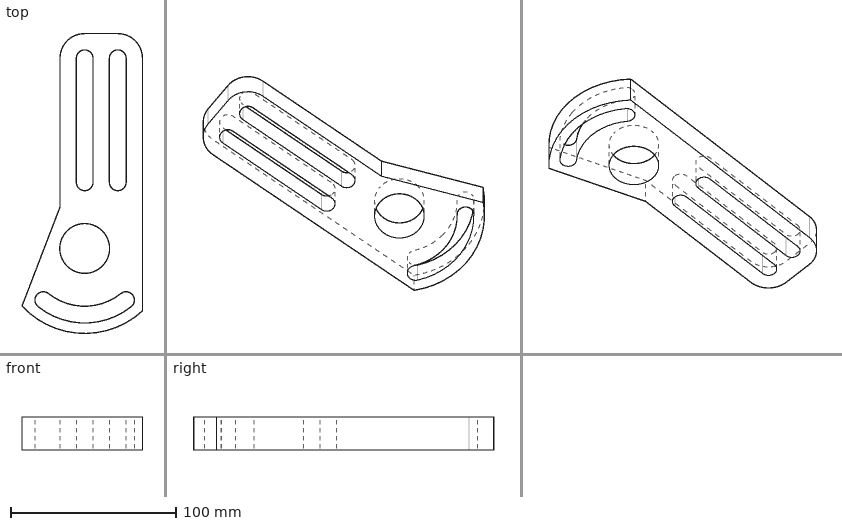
import cadquery as cq
import math

thickness = 20.0
arm_left = -15.0
arm_right = 35.0
arm_top = 130.0
arm_corner_radius = 15.0

pivot_diameter = 30.0
foot_radius = 51.46
flare_start_y = 25.0
foot_left = -37.94

slot_width = 10.0
slot_bottom = 35.0
slot_top = 120.0
slot_xs = (0.0, 20.0)

arc_slot_radius = 40.0
arc_slot_width = 10.0
arc_slot_end_x = 25.0


def foot_edge_y(x):
    """Y of the foot's rounded lower edge at a given X."""
    return -math.sqrt(foot_radius**2 - x**2)


def make_plate():
    plate = (
        cq.Workplane("XY")
        .moveTo(arm_left, arm_top)
        .lineTo(arm_left, flare_start_y)
        .lineTo(foot_left, foot_edge_y(foot_left))
        .threePointArc((0, -foot_radius), (arm_right, foot_edge_y(arm_right)))
        .lineTo(arm_right, arm_top)
        .close()
        .extrude(thickness)
    )
    return plate.edges("|Z and >Y").fillet(arm_corner_radius)


def make_pivot_hole():
    return cq.Workplane("XY").circle(pivot_diameter / 2).extrude(thickness)


def make_straight_slots():
    slot_length = slot_top - slot_bottom
    slot_mid_y = (slot_top + slot_bottom) / 2
    return (
        cq.Workplane("XY")
        .pushPoints([(x, slot_mid_y) for x in slot_xs])
        .slot2D(slot_length, slot_width, angle=90)
        .extrude(thickness)
    )


def make_arc_slot():
    end_radius = arc_slot_width / 2
    inner_radius = arc_slot_radius - end_radius
    outer_radius = arc_slot_radius + end_radius
    half_angle = math.asin(arc_slot_end_x / arc_slot_radius)

    def polar(radius, angle):
        return (radius * math.sin(angle), -radius * math.cos(angle))

    def end_tip(side):
        """Outermost point of the rounded end on the given side (-1 or 1)."""
        x, y = polar(arc_slot_radius, side * half_angle)
        return (
            x + side * end_radius * math.cos(half_angle),
            y + end_radius * math.sin(half_angle),
        )

    return (
        cq.Workplane("XY")
        .moveTo(*polar(inner_radius, -half_angle))
        .threePointArc(polar(inner_radius, 0), polar(inner_radius, half_angle))
        .threePointArc(end_tip(1), polar(outer_radius, half_angle))
        .threePointArc(polar(outer_radius, 0), polar(outer_radius, -half_angle))
        .threePointArc(end_tip(-1), polar(inner_radius, -half_angle))
        .close()
        .extrude(thickness)
    )


result = (
    make_plate()
    .cut(make_pivot_hole())
    .cut(make_straight_slots())
    .cut(make_arc_slot())
)